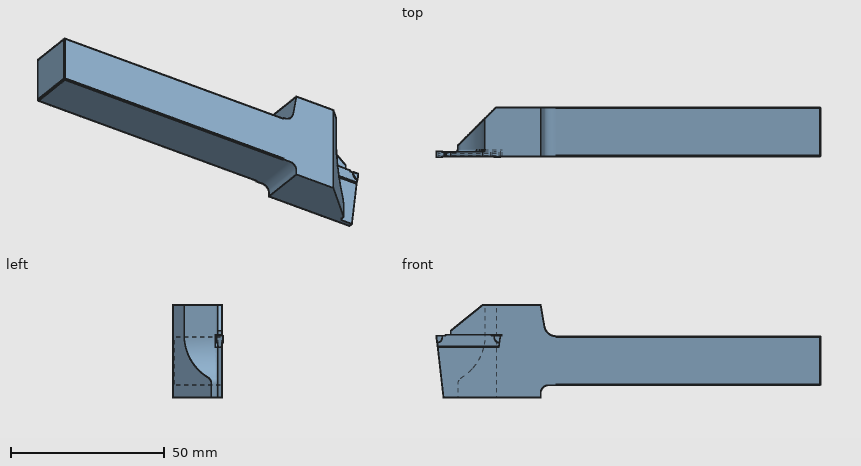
import cadquery as cq
import math

length = 125.0
width = 16.0
head_height = 30.1
shank_bottom = 4.0
shank_top = shank_bottom + width
shank_start = 39.0
shank_chamfer = 0.4

toe_x = 2.4
nose_x = 4.8
nose_top = 21.8
ramp_end_x = 15.1
head_end_x = 34.0
neck_foot_x = 35.8
top_neck_radius = 3.8
bottom_neck_radius = 2.5

blade_thickness = 1.5
blade_fillet = 0.8
upper_face_x = 15.9
lower_face_x = 7.0
relief_radius = 16.0
relief_center_z = 20.2
shoulder_radius = 2.5
bevel_offset = 3.5

insert_length = 20.9
insert_bottom = 16.4
insert_top = 20.5
land_height = 20.1
end_slant = 0.5
land_length = 2.9
land_rise_length = 0.4
bottom_chamfer = 0.4
slot_depth = 2.2
slot_corner_length = 0.4
cutting_head_radius = 1.9
cutting_head_x = 0.1
cutting_head_z = 19.6
head_overhang = 0.2


def plate(sketch, y_start, y_end):
    """Extrude a closed XZ outline between two Y positions."""
    return sketch.extrude(-(y_end - y_start)).translate((0, y_start, 0))


def make_head():
    """Full-width head with both neck fillets, ending where the shank starts."""
    rear_lean = math.atan2(neck_foot_x - head_end_x, head_height - shank_top)
    tangent = top_neck_radius * math.tan((math.pi / 2 - rear_lean) / 2)
    arc_top = (neck_foot_x - tangent * math.sin(rear_lean), shank_top + tangent * math.cos(rear_lean))
    arc_foot = (neck_foot_x + tangent, shank_top)
    mid_angle = (math.pi / 2 - rear_lean) / 2
    arc_mid = (
        arc_foot[0] - top_neck_radius * math.sin(mid_angle),
        shank_top + top_neck_radius * (1 - math.cos(mid_angle)),
    )
    bottom_mid = bottom_neck_radius * (1 - math.sqrt(0.5))
    outline = (
        cq.Workplane("XZ")
        .moveTo(toe_x, 0)
        .lineTo(end_slant, insert_bottom)
        .lineTo(nose_x, insert_top)
        .lineTo(nose_x, nose_top)
        .lineTo(ramp_end_x, head_height)
        .lineTo(head_end_x, head_height)
        .lineTo(*arc_top)
        .threePointArc(arc_mid, arc_foot)
        .lineTo(shank_start, shank_top)
        .lineTo(shank_start, shank_bottom)
        .lineTo(head_end_x + bottom_neck_radius, shank_bottom)
        .threePointArc(
            (head_end_x + bottom_mid, shank_bottom - bottom_mid),
            (head_end_x, shank_bottom - bottom_neck_radius),
        )
        .lineTo(head_end_x, 0)
        .close()
    )
    return plate(outline, 0, width)


def make_shank():
    """Square bar chamfered along its length and around its free end."""
    bar = cq.Workplane("XY").box(length - shank_start, width, width, centered=False)
    bar = bar.edges("|X or >X").chamfer(shank_chamfer)
    return bar.translate((shank_start, 0, shank_bottom))


def make_thick_part():
    """Region kept behind the blade: curved relief in front, blending into the blade by a fillet."""
    relief_center_x = upper_face_x - relief_radius
    shoulder_x = lower_face_x + shoulder_radius
    center_distance = relief_radius + shoulder_radius
    shoulder_z = relief_center_z - math.sqrt(center_distance**2 - (shoulder_x - relief_center_x) ** 2)
    meet_angle = math.atan2(shoulder_z - relief_center_z, shoulder_x - relief_center_x)

    def on_relief(angle):
        return (
            relief_center_x + relief_radius * math.cos(angle),
            relief_center_z + relief_radius * math.sin(angle),
        )

    shoulder_angle = math.pi + meet_angle / 2
    shoulder_mid = (
        shoulder_x + shoulder_radius * math.cos(shoulder_angle),
        shoulder_z + shoulder_radius * math.sin(shoulder_angle),
    )
    outline = (
        cq.Workplane("XZ")
        .moveTo(upper_face_x, head_height)
        .lineTo(upper_face_x, relief_center_z)
        .threePointArc(on_relief(meet_angle / 2), on_relief(meet_angle))
        .threePointArc(shoulder_mid, (lower_face_x, shoulder_z))
        .lineTo(lower_face_x, 0)
        .lineTo(shank_start, 0)
        .lineTo(shank_start, head_height)
        .close()
    )
    block = plate(outline, blade_thickness, width)
    blade = cq.Workplane("XY").box(shank_start, blade_thickness, head_height, centered=False)
    joined = block.union(blade)
    inner_corner = cq.selectors.BoxSelector(
        (lower_face_x - blade_fillet, blade_thickness - blade_fillet, shoulder_z),
        (upper_face_x + blade_fillet, blade_thickness + blade_fillet, head_height),
    )
    joined = joined.edges(inner_corner).fillet(blade_fillet)
    bevel = (
        cq.Workplane("XY")
        .moveTo(bevel_offset + slot_depth, slot_depth)
        .lineTo(bevel_offset + width, width)
        .lineTo(0, width)
        .lineTo(0, slot_depth)
        .close()
        .extrude(head_height)
    )
    return joined.cut(bevel)


def make_slot():
    """Pocket for the insert, open at the front and at the outer side, with a relieved rear corner."""
    outline = (
        cq.Workplane("XZ")
        .moveTo(0, insert_bottom)
        .lineTo(insert_length - end_slant, insert_bottom)
        .lineTo(insert_length, land_height)
        .lineTo(insert_length + slot_corner_length, land_height)
        .lineTo(insert_length + slot_corner_length, insert_top)
        .lineTo(0, insert_top)
        .close()
    )
    return plate(outline, 0, slot_depth)


def make_holder():
    head = make_head().intersect(make_thick_part())
    return head.union(make_shank()).cut(make_slot())


def make_insert():
    """Double-ended insert with a wider rounded cutting head at each end."""
    middle = insert_length / 2
    land_end = land_length + land_rise_length

    def end_outline():
        return (
            cq.Workplane("XZ")
            .moveTo(end_slant, insert_bottom)
            .lineTo(0, land_height)
            .lineTo(land_length, land_height)
            .lineTo(land_end, insert_top)
            .lineTo(middle, insert_top)
            .lineTo(middle, insert_bottom)
            .close()
        )

    half = plate(end_outline(), 0, blade_thickness)
    half = half.edges("|X and <Z").chamfer(bottom_chamfer)
    wide_half = plate(end_outline(), -head_overhang, blade_thickness + head_overhang)
    disc = cq.Workplane("XZ").center(cutting_head_x, cutting_head_z).circle(cutting_head_radius)
    disc = plate(disc, -head_overhang, blade_thickness + head_overhang)
    half = half.union(wide_half.intersect(disc))
    return half.union(half.mirror("YZ", (middle, 0, 0)))


holder = make_holder()
insert = make_insert()
result = cq.Compound.makeCompound([holder.val(), insert.val()])